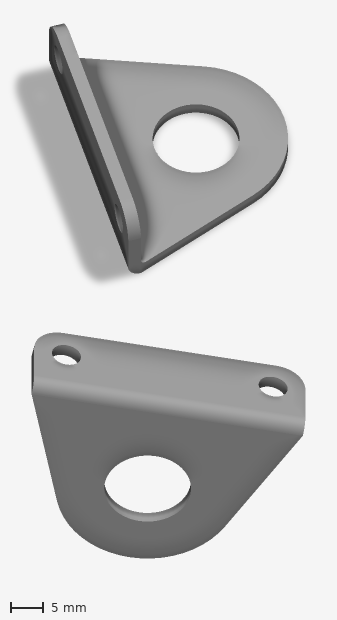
import cadquery as cq
import math

width = 42.0
height = 13.0
depth = 31.0
thickness = 2.0
inner_bend_radius = 1.0
outer_bend_radius = thickness

nose_radius = 14.0
nose_hole_diameter = 13.2
nose_center_y = depth - nose_radius

corner_radius = 4.5
screw_hole_diameter = 4.5
screw_hole_spacing = 32.0
screw_hole_drop = 5.0

half_width = width / 2


def make_base():
    """Horizontal plate: straight flanks running tangent into a round nose."""
    corner_drop = nose_center_y - thickness
    corner_distance = math.hypot(half_width, corner_drop)
    tangent_angle = math.acos(nose_radius / corner_distance) - math.atan2(corner_drop, half_width)
    tangent_x = nose_radius * math.cos(tangent_angle)
    tangent_y = nose_center_y + nose_radius * math.sin(tangent_angle)
    return (
        cq.Workplane("XY")
        .moveTo(-half_width, 0)
        .lineTo(half_width, 0)
        .lineTo(half_width, thickness)
        .lineTo(tangent_x, tangent_y)
        .threePointArc((0, depth), (-tangent_x, tangent_y))
        .lineTo(-half_width, thickness)
        .close()
        .extrude(thickness)
    )


def make_flange():
    """Upright plate with rounded top corners."""
    return (
        cq.Workplane("XY")
        .box(width, thickness, height, centered=(True, False, False))
        .edges("|Y and >Z")
        .fillet(corner_radius)
    )


def round_bend(body):
    """Round the inside and the outside of the bend between the plates."""
    inner_edge = cq.selectors.NearestToPointSelector((0, thickness, thickness))
    body = body.edges(inner_edge).fillet(inner_bend_radius)
    return body.edges("|X and <Y and <Z").fillet(outer_bend_radius)


def make_nose_hole():
    return (
        cq.Workplane("XY")
        .center(0, nose_center_y)
        .circle(nose_hole_diameter / 2)
        .extrude(thickness)
    )


def make_screw_holes():
    hole_z = height - screw_hole_drop
    hole_x = screw_hole_spacing / 2
    return (
        cq.Workplane("XZ")
        .pushPoints([(-hole_x, hole_z), (hole_x, hole_z)])
        .circle(screw_hole_diameter / 2)
        .extrude(-thickness)
    )


bracket = round_bend(make_base().union(make_flange()))
result = bracket.cut(make_nose_hole()).cut(make_screw_holes())